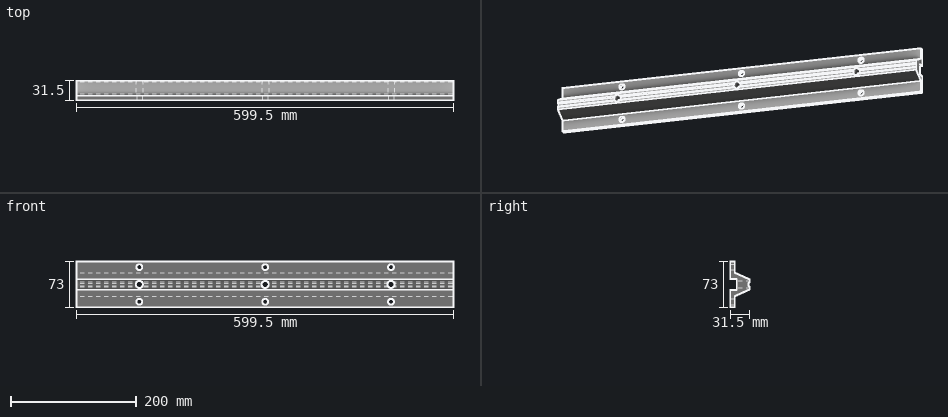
import cadquery as cq

LENGTH = 599.5
DEPTH = 31.46
HEIGHT = 73.0

FLANGE_THICKNESS = 7.6
SLOT_WIDTH = 17.0
SLOT_DEPTH = 10.5
NOSE_TIP_WIDTH = 16.0
NOSE_BASE_WIDTH = 37.5
GROOVE_WIDTH = 8.0
GROOVE_DEPTH = 2.0
GROOVE_FLOOR_WIDTH = 4.0

FIRST_HOLE_FROM_END = 100.0
HOLE_PITCH = 200.0
HOLES_PER_ROW = 3
FLANGE_HOLE_DIAMETER = 9.0
FLANGE_HOLE_OFFSET = 27.5
NOSE_HOLE_DIAMETER = 11.0

FRONT_Y = -DEPTH / 2
BACK_Y = DEPTH / 2
FLANGE_BACK_Y = FRONT_Y + FLANGE_THICKNESS
SLOT_FLOOR_Y = FRONT_Y + SLOT_DEPTH


def make_rail():
    """Extrude the cross-section, symmetric about Z = 0, along X."""
    upper_half = [
        (SLOT_FLOOR_Y, SLOT_WIDTH / 2),
        (FRONT_Y, SLOT_WIDTH / 2),
        (FRONT_Y, HEIGHT / 2),
        (FLANGE_BACK_Y, HEIGHT / 2),
        (FLANGE_BACK_Y, NOSE_BASE_WIDTH / 2),
        (BACK_Y, NOSE_TIP_WIDTH / 2),
        (BACK_Y, GROOVE_WIDTH / 2),
        (BACK_Y - GROOVE_DEPTH, GROOVE_FLOOR_WIDTH / 2),
    ]
    lower_half = [(y, -z) for y, z in reversed(upper_half)]
    outline = upper_half + lower_half
    return cq.Workplane("YZ").polyline(outline).close().extrude(LENGTH / 2, both=True)


def drill_row(body, diameter, z):
    """Drill one row of through holes along Y at height z."""
    first_x = FIRST_HOLE_FROM_END - LENGTH / 2
    centres = [(first_x + i * HOLE_PITCH, z) for i in range(HOLES_PER_ROW)]
    drills = cq.Workplane("XZ").pushPoints(centres).circle(diameter / 2).extrude(DEPTH, both=True)
    return body.cut(drills)


result = make_rail()
result = drill_row(result, NOSE_HOLE_DIAMETER, 0)
for side in (-1, 1):
    result = drill_row(result, FLANGE_HOLE_DIAMETER, side * FLANGE_HOLE_OFFSET)